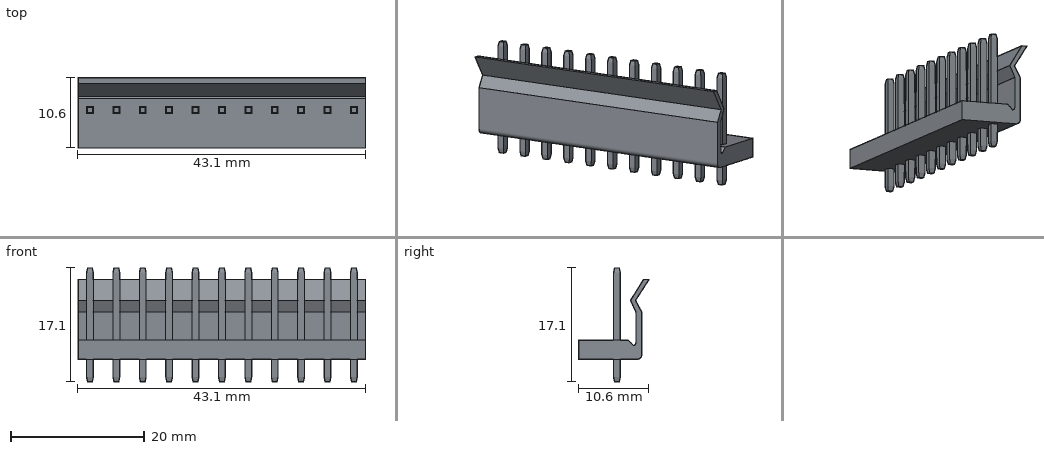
import cadquery as cq
length = 43.15
base_height = 2.9
wall_back = 9.5
wall_thickness = 0.9
wall_front = wall_back - wall_thickness
heel_radius = 0.75

bend_height = 7.08
knee_height = 8.85
knee_front = 7.75
knee_back = 8.55
tip_height = 12.0
tip_back = 10.57
tip_front = 9.7

groove_mouth_y = 7.42
groove_depth = 0.8
groove_bottom_y = groove_mouth_y + groove_depth
groove_bottom_z = base_height - groove_depth
groove_arc_height = 0.5

pin_count = 11
end_margin = 1.75
pin_pitch = (length - 2 * end_margin) / (pin_count - 1)
pin_width = 1.05
pin_tip_width = 0.75
pin_taper = 0.7
pin_length = 17.1
pin_bottom = -3.35
pin_top = pin_bottom + pin_length
pin_y = 5.75


def make_body():
    """Constant L-shaped section with the latch, extruded along the row."""
    section = (
        cq.Workplane("YZ")
        .moveTo(0, 0)
        .lineTo(wall_back - heel_radius, 0)
        .radiusArc((wall_back, heel_radius), -heel_radius)
        .lineTo(wall_back, bend_height)
        .lineTo(knee_back, knee_height)
        .lineTo(tip_back, tip_height)
        .lineTo(tip_front, tip_height)
        .lineTo(knee_front, knee_height)
        .lineTo(wall_front, bend_height)
        .lineTo(wall_front, groove_bottom_z + groove_arc_height)
        .tangentArcPoint((groove_bottom_y, groove_bottom_z), relative=False)
        .lineTo(groove_mouth_y, base_height)
        .lineTo(0, base_height)
        .close()
    )
    return section.extrude(length / 2, both=True)


def make_pin_end(x, start_z, taper_height):
    """Tapered pin end; a negative taper_height points it downwards."""
    return (
        cq.Workplane("XY", origin=(x, pin_y, start_z))
        .rect(pin_width, pin_width)
        .workplane(offset=taper_height)
        .rect(pin_tip_width, pin_tip_width)
        .loft(ruled=True)
    )


def make_pin(x):
    """Square pin through the base at x, tapered at both ends."""
    shaft_bottom = pin_bottom + pin_taper
    shaft_top = pin_top - pin_taper
    shaft = (
        cq.Workplane("XY", origin=(x, pin_y, shaft_bottom))
        .rect(pin_width, pin_width)
        .extrude(shaft_top - shaft_bottom)
    )
    upper_end = make_pin_end(x, shaft_top, pin_taper)
    lower_end = make_pin_end(x, shaft_bottom, -pin_taper)
    return shaft.union(upper_end).union(lower_end)


result = make_body()
for index in range(pin_count):
    pin_x = (index - (pin_count - 1) / 2) * pin_pitch
    result = result.union(make_pin(pin_x))